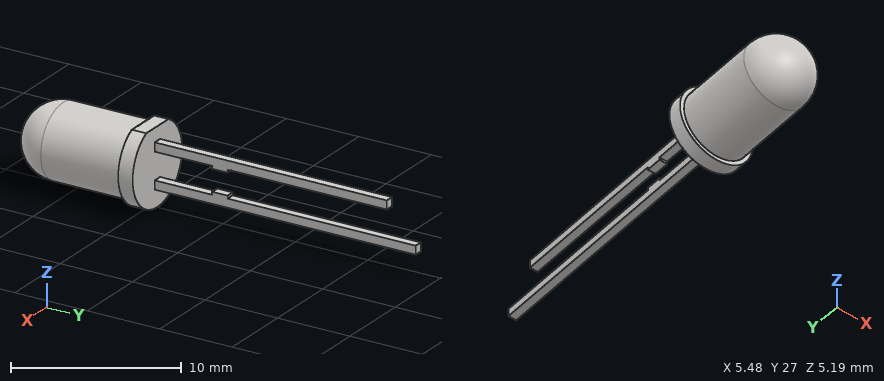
import cadquery as cq

overall_length = 27.0
long_lead_length = 18.0
lead_length_difference = 2.0

lens_diameter = 4.9
lens_radius = lens_diameter / 2
lens_length = overall_length - long_lead_length
flange_diameter = 5.48
flange_thickness = 1.0

lead_width = 0.6
lead_spacing = 2.43
tab_length = 1.08
tab_height = 0.2
tab_start = 3.95


def make_lens():
    """Domed lens with a flange whose flat is level with the top of the cylinder."""
    dome_start = lens_length - lens_radius
    flange_radius = flange_diameter / 2
    dome_middle = lens_radius * 0.5 ** 0.5
    profile = (
        cq.Workplane("XY")
        .moveTo(0, 0)
        .lineTo(flange_radius, 0)
        .lineTo(flange_radius, -flange_thickness)
        .lineTo(lens_radius, -flange_thickness)
        .lineTo(lens_radius, -dome_start)
        .threePointArc((dome_middle, -dome_start - dome_middle), (0, -lens_length))
        .close()
    )
    body = profile.revolve(360, (0, 0, 0), (0, 1, 0))
    flat_cutter = cq.Workplane("XY").box(
        flange_diameter, 2 * flange_thickness, flange_diameter, centered=(True, True, False)
    ).translate((0, 0, lens_radius))
    return body.cut(flat_cutter)


def make_lead(length, side):
    """Square lead on the upper (side = 1) or lower (side = -1) half, with a tab facing inward."""
    center_z = side * lead_spacing / 2
    tab_depth = lead_width / 2 + tab_height
    bar = cq.Workplane("XY").box(lead_width, length, lead_width, centered=(True, False, True))
    tab = (
        cq.Workplane("XY")
        .box(lead_width, tab_length, tab_depth, centered=(True, False, True))
        .translate((0, tab_start, -side * tab_depth / 2))
    )
    return bar.union(tab).translate((0, 0, center_z))


lens = make_lens()
lead_ends = [(long_lead_length - lead_length_difference, 1), (long_lead_length, -1)]
leads = [make_lead(length, side) for length, side in lead_ends]

result = cq.Compound.makeCompound([lens.val(), *[lead.val() for lead in leads]])